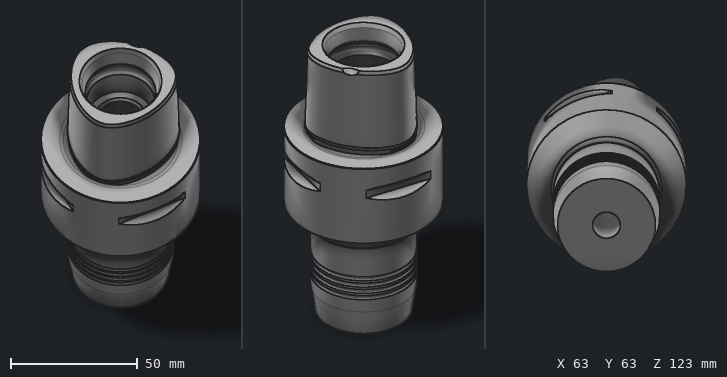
import cadquery as cq
import math

total_length = 123.0
shank_length = 38.0
flange_top = total_length - shank_length
flange_bottom = 50.2

flange_radius = 31.5
flange_edge_chamfer = 0.2
flange_cone_radius = 21.8
flange_cone_bottom = 45.8

relief_outer_radius = 24.1
relief_floor_radius = 22.6
relief_depth = 0.2

slot_count = 4
slot_start_angle = 45.0
slot_level = 73.1
slot_flat_distance = 27.9
slot_flat_height = 3.6
slot_wall_angle = 30.0
slot_clearance = 1.2

nose_radius = 21.0
neck_radius = 20.8
neck_fillet_bottom = 43.0
neck_bottom = 41.1
neck_step = nose_radius - neck_radius
nose_straight_bottom = 11.5
nose_end_radius = 19.3
ring_groove_count = 4
ring_groove_pitch = 3.0
ring_groove_first = 18.0
ring_groove_width = 1.8
ring_groove_depth = 0.4

lobe_height = 1.4
shank_base_radius = 22.0
shank_band_radius = 22.1
shank_band_step = 0.2
shank_taper = 1 / 40
shank_chamfer_height = 1.5
shank_chamfer_width = 0.6
shank_taper_bottom = total_length - 34.9
shank_band_bottom = total_length - 36.3
shank_root = 1.2
lobe_relief_radius = 22.5
lobe_relief_height = 0.9
outline_points = 90

mouth_radius = 16.2
mouth_depth = 1.7
entry_start_radius = 15.3
entry_end_radius = 13.9
entry_end_depth = 6.5
land_end_depth = 7.4
bore_groove_radius = 15.4
bore_groove_start = 9.2
bore_groove_end = 10.5
bore_groove_fillet = 2.5
main_bore_radius = 13.4
main_bore_depth = 24.6
inner_chamfer_radius = 10.3
inner_bore_radius = 9.1
inner_bore_length = 9.8
coolant_hole_radius = 5.4
drill_slope = math.tan(math.radians(30))

notch_ball_radius = 8.6
notch_ball_rise = 4.3
notch_inner_distance = 18.1


def polygon_wire(radius, level):
    """Closed three-lobed outline with one lobe pointing to -Y."""

    def point(step):
        angle = 2 * math.pi * step
        reach = radius + lobe_height * math.sin(3 * angle)
        slope = 3 * lobe_height * math.cos(3 * angle)
        x = reach * math.cos(angle) - slope * math.sin(angle)
        y = reach * math.sin(angle) + slope * math.cos(angle)
        return cq.Vector(x, y, level)

    points = [point(i / outline_points) for i in range(outline_points)]
    return cq.Wire.assembleEdges([cq.Edge.makeSpline(points, periodic=True)])


def polygon_section(bottom, bottom_radius, top, top_radius):
    wires = [polygon_wire(bottom_radius, bottom), polygon_wire(top_radius, top)]
    return cq.Workplane(obj=cq.Solid.makeLoft(wires, True))


def revolve_profile(profile):
    return profile.close().revolve(360, (0, 0, 0), (0, 1, 0))


def make_body():
    relief_floor = flange_top - relief_depth
    relief_run = relief_outer_radius - relief_floor_radius
    relief_arc_radius = (relief_run**2 + relief_depth**2) / (2 * relief_depth)
    profile = (
        cq.Workplane("XZ")
        .lineTo(nose_end_radius, 0)
        .lineTo(nose_radius, nose_straight_bottom)
        .lineTo(nose_radius, neck_bottom - neck_step)
        .lineTo(neck_radius, neck_bottom)
        .lineTo(neck_radius, neck_fillet_bottom)
        .tangentArcPoint((flange_cone_radius, flange_cone_bottom), relative=False)
        .lineTo(flange_radius, flange_bottom)
        .lineTo(flange_radius, flange_top - flange_edge_chamfer)
        .lineTo(flange_radius - flange_edge_chamfer, flange_top)
        .lineTo(relief_outer_radius, flange_top)
        .radiusArc((relief_floor_radius, relief_floor), relief_arc_radius)
        .lineTo(0, relief_floor)
    )
    return revolve_profile(profile)


def ring_groove(level):
    half_width = ring_groove_width / 2
    profile = (
        cq.Workplane("XZ")
        .moveTo(nose_radius, level - half_width)
        .threePointArc((nose_radius - ring_groove_depth, level), (nose_radius, level + half_width))
    )
    return revolve_profile(profile)


def make_shank():
    chamfer_bottom = total_length - shank_chamfer_height
    tip_radius = shank_base_radius - shank_taper * (chamfer_bottom - shank_taper_bottom)
    rim_radius = tip_radius - shank_chamfer_width
    band_edge = shank_band_bottom + shank_band_step
    undercut_radius = shank_band_radius - shank_band_step
    undercut_bottom = flange_top - shank_root

    lobe_relief = (
        cq.Workplane("XY", origin=(0, 0, undercut_bottom))
        .circle(flange_radius)
        .circle(lobe_relief_radius)
        .extrude(flange_top + lobe_relief_height - undercut_bottom)
    )
    undercut = polygon_section(
        undercut_bottom, undercut_radius, shank_band_bottom, undercut_radius
    ).cut(lobe_relief)
    step = polygon_section(shank_band_bottom, undercut_radius, band_edge, shank_band_radius)
    band = polygon_section(band_edge, shank_band_radius, shank_taper_bottom, shank_band_radius)
    taper = polygon_section(shank_taper_bottom, shank_base_radius, chamfer_bottom, tip_radius)
    rim = polygon_section(chamfer_bottom, tip_radius, total_length, rim_radius)
    return undercut.union(step).union(band).union(taper).union(rim)


def grip_slot(angle):
    """Trapezoidal cutter with a flat floor, widening outwards."""
    reach = flange_radius + slot_clearance - slot_flat_distance
    floor_half = slot_flat_height / 2
    mouth_half = floor_half + reach * math.tan(math.radians(slot_wall_angle))
    outline = [
        (slot_flat_distance, slot_level - floor_half),
        (slot_flat_distance + reach, slot_level - mouth_half),
        (slot_flat_distance + reach, slot_level + mouth_half),
        (slot_flat_distance, slot_level + floor_half),
    ]
    slot = cq.Workplane("XZ").polyline(outline).close().extrude(flange_radius, both=True)
    return slot.rotate((0, 0, 0), (0, 0, 1), angle)


def make_bore():
    fillet_end_radius = bore_groove_radius - bore_groove_fillet * (1 - math.sqrt(0.5))
    fillet_end_depth = bore_groove_end + bore_groove_fillet * math.sqrt(0.5)
    cone_end_depth = fillet_end_depth + fillet_end_radius - main_bore_radius
    inner_chamfer_end = main_bore_depth + drill_slope * (inner_chamfer_radius - inner_bore_radius)
    inner_bore_end = main_bore_depth + inner_bore_length
    coolant_hole_start = inner_bore_end + drill_slope * (inner_bore_radius - coolant_hole_radius)
    profile = (
        cq.Workplane("XZ")
        .lineTo(coolant_hole_radius, 0)
        .lineTo(coolant_hole_radius, total_length - coolant_hole_start)
        .lineTo(inner_bore_radius, total_length - inner_bore_end)
        .lineTo(inner_bore_radius, total_length - inner_chamfer_end)
        .lineTo(inner_chamfer_radius, total_length - main_bore_depth)
        .lineTo(main_bore_radius, total_length - main_bore_depth)
        .lineTo(main_bore_radius, total_length - cone_end_depth)
        .lineTo(fillet_end_radius, total_length - fillet_end_depth)
        .radiusArc((bore_groove_radius, total_length - bore_groove_end), -bore_groove_fillet)
        .lineTo(bore_groove_radius, total_length - bore_groove_start)
        .lineTo(entry_end_radius, total_length - land_end_depth)
        .lineTo(entry_end_radius, total_length - entry_end_depth)
        .lineTo(entry_start_radius, total_length - mouth_depth)
        .lineTo(mouth_radius, total_length)
        .lineTo(0, total_length)
    )
    return revolve_profile(profile)


def make_notch():
    rim_circle_radius = math.sqrt(notch_ball_radius**2 - notch_ball_rise**2)
    center = (0, notch_inner_distance + rim_circle_radius, total_length + notch_ball_rise)
    return cq.Workplane("XY").sphere(notch_ball_radius).translate(center)


result = make_body().union(make_shank())
for index in range(slot_count):
    result = result.cut(grip_slot(slot_start_angle + index * 360 / slot_count))
for index in range(ring_groove_count):
    result = result.cut(ring_groove(ring_groove_first + index * ring_groove_pitch))
result = result.cut(make_bore()).cut(make_notch())